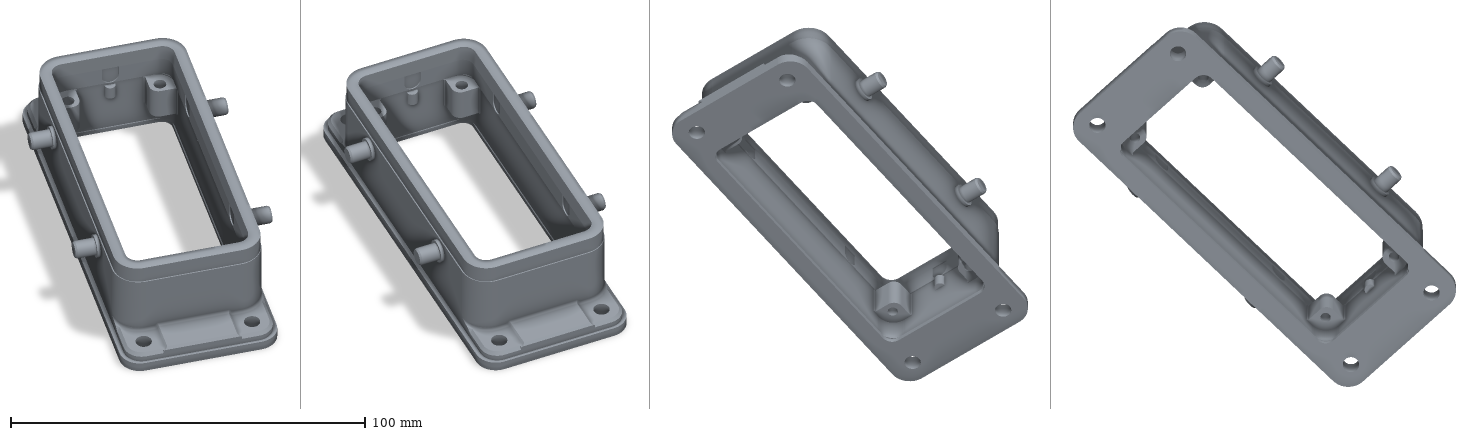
import cadquery as cq
import math

TOTAL_HEIGHT = 29.0
FLANGE_HEIGHT = 2.9
EAR_HEIGHT = 5.5
PAD_HEIGHT = 6.3
RIM_HEIGHT = 23.6

FLANGE_LENGTH = 115.0
FLANGE_WIDTH = 46.0
FLANGE_RADIUS = 6.0
EAR_LENGTH = 113.4
EAR_RADIUS = 5.2
EAR_CHAMFER = 0.9
WALL_LENGTH = 93.2
WALL_WIDTH = 43.5
WALL_RADIUS = 7.7
WALL_BLEND = 0.8
SELECTION_MARGIN = 0.6

PAD_TOP_WIDTH = 20.5
PAD_CHAMFER = 0.7
PAD_BLEND = 1.0
PAD_SLOPE = math.radians(45)

RIM_STEP = 0.3
RIM_LENGTH = WALL_LENGTH - 2 * RIM_STEP
RIM_WIDTH = WALL_WIDTH - 2 * RIM_STEP
RIM_RADIUS = 7.0
RIM_THICKNESS = 3.5
RIM_CROWN = 0.4
CROWN_BASE = TOTAL_HEIGHT - RIM_CROWN

OPENING_LENGTH = 85.2
OPENING_WIDTH = 34.8
OPENING_RADIUS = 3.2
RECESS_DEPTH = 0.3
RECESS_RADIUS = 5.1
LIP_HEIGHT = 1.4
BAND_BOTTOM = 18.4
BAND_TOP = 23.9

NOTCH_WIDTH = 5.0

MOUNT_X = 51.4
MOUNT_Y = 15.9
MOUNT_DIAMETER = 4.6

BOSS_INNER_X = 35.8
BOSS_INNER_Y = 10.2
BOSS_RADIUS = 2.6
BOSS_BOTTOM = 8.4
BOSS_TOP = 18.0
BOSS_FOOT_MARGIN = 0.5
SCREW_X = 38.6
SCREW_Y = 13.5
SCREW_TOP_DIAMETER = 3.6
SCREW_BOTTOM_DIAMETER = 2.9

PEG_RADIUS = 1.6
PEG_TIP_X = 41.3
PEG_BOTTOM = 13.5
PEG_TOP = 17.4

PIN_X = 23.7
PIN_Z = 19.2
PIN_DIAMETER = 5.1
PIN_SPAN = 57.6
PIN_CHAMFER_LENGTH = 0.6
PIN_CHAMFER_DEPTH = 0.3
COLLAR_DIAMETER = 6.7
COLLAR_SPAN = 45.5


def rounded_block(length, width, radius, bottom, top):
    block = cq.Workplane("XY").workplane(offset=bottom).rect(length, width).extrude(top - bottom)
    return block.edges("|Z").fillet(radius)


def both_ends(shape):
    return shape.union(shape.mirror("YZ"))


def four_corners(shape):
    pair = both_ends(shape)
    return pair.union(pair.mirror("XZ"))


def chamfered_ear_plate(top, chamfer):
    plate = rounded_block(EAR_LENGTH, WALL_WIDTH, EAR_RADIUS, 0, top)
    return plate.faces(">Z").chamfer(chamfer)


def pad_strip():
    """Bar along X whose section has a flat top, sloping sides and blended feet."""
    top_y = PAD_TOP_WIDTH / 2
    blend_run = PAD_BLEND * math.sin(PAD_SLOPE)
    slope_z = EAR_HEIGHT + PAD_BLEND * (1 - math.cos(PAD_SLOPE))
    slope_y = top_y + (PAD_HEIGHT - slope_z) / math.tan(PAD_SLOPE)
    foot_y = slope_y + blend_run
    blend_mid_y = foot_y - PAD_BLEND * math.sin(PAD_SLOPE / 2)
    blend_mid_z = EAR_HEIGHT + PAD_BLEND * (1 - math.cos(PAD_SLOPE / 2))
    return (
        cq.Workplane("YZ")
        .moveTo(-foot_y, 0)
        .lineTo(-foot_y, EAR_HEIGHT)
        .threePointArc((-blend_mid_y, blend_mid_z), (-slope_y, slope_z))
        .lineTo(-top_y, PAD_HEIGHT)
        .lineTo(top_y, PAD_HEIGHT)
        .lineTo(slope_y, slope_z)
        .threePointArc((blend_mid_y, blend_mid_z), (foot_y, EAR_HEIGHT))
        .lineTo(foot_y, 0)
        .close()
        .extrude(EAR_LENGTH / 2, both=True)
    )


def grown_wall(margin, top):
    return rounded_block(WALL_LENGTH + 2 * margin, WALL_WIDTH + 2 * margin, WALL_RADIUS + margin, 0, top)


def blended_wall():
    """Outer wall filleted onto an oversized slab that carries the pad strip."""
    slab = cq.Workplane("XY").rect(FLANGE_LENGTH, 2 * FLANGE_WIDTH).extrude(EAR_HEIGHT)
    body = slab.union(pad_strip()).union(grown_wall(0, RIM_HEIGHT))
    corner_x = WALL_LENGTH / 2 + SELECTION_MARGIN
    corner_y = WALL_WIDTH / 2 + SELECTION_MARGIN
    wall_foot = cq.selectors.BoxSelector(
        (-corner_x, -corner_y, EAR_HEIGHT - SELECTION_MARGIN),
        (corner_x, corner_y, PAD_HEIGHT + SELECTION_MARGIN),
    )
    return body.edges(wall_foot).fillet(WALL_BLEND)


def ear_envelope():
    """Space the ears may fill: chamfered at the edges, clear of the fillet around the wall."""
    ears = chamfered_ear_plate(EAR_HEIGHT, EAR_CHAMFER)
    pads = chamfered_ear_plate(PAD_HEIGHT, PAD_CHAMFER).intersect(pad_strip())
    fillet_zone = grown_wall(WALL_BLEND, RIM_HEIGHT)
    fillet_skirt = grown_wall(WALL_BLEND + EAR_CHAMFER, EAR_HEIGHT).faces(">Z").chamfer(EAR_CHAMFER)
    ear_outline = rounded_block(EAR_LENGTH, WALL_WIDTH, EAR_RADIUS, 0, RIM_HEIGHT)
    return ears.union(pads).union(fillet_zone.union(fillet_skirt).intersect(ear_outline))


def outer_body():
    flange = rounded_block(FLANGE_LENGTH, FLANGE_WIDTH, FLANGE_RADIUS, 0, FLANGE_HEIGHT)
    rim = rounded_block(RIM_LENGTH, RIM_WIDTH, RIM_RADIUS, 0, CROWN_BASE)
    return blended_wall().intersect(ear_envelope()).union(flange).union(rim)


def rim_crown():
    """Shallow arched cap swept around the rim."""
    half = RIM_THICKNESS / 2
    middle_y = RIM_WIDTH / 2 - half
    core = rounded_block(
        RIM_LENGTH - RIM_THICKNESS, RIM_WIDTH - RIM_THICKNESS, RIM_RADIUS - half, CROWN_BASE, TOTAL_HEIGHT
    )
    path = core.faces("<Z").wires().val()
    return (
        cq.Workplane("YZ")
        .moveTo(-middle_y - half, CROWN_BASE)
        .threePointArc((-middle_y, TOTAL_HEIGHT), (-middle_y + half, CROWN_BASE))
        .close()
        .sweep(cq.Workplane(obj=path))
    )


def cavity():
    wide = 2 * RECESS_DEPTH
    lip = rounded_block(OPENING_LENGTH, OPENING_WIDTH, OPENING_RADIUS, 0, LIP_HEIGHT)
    recess = rounded_block(
        OPENING_LENGTH + wide, OPENING_WIDTH + wide, RECESS_RADIUS, LIP_HEIGHT, BAND_BOTTOM
    )
    band = rounded_block(OPENING_LENGTH, OPENING_WIDTH, OPENING_RADIUS, BAND_BOTTOM, BAND_TOP)
    mouth_top = rounded_block(
        RIM_LENGTH - 2 * RIM_THICKNESS, RIM_WIDTH - 2 * RIM_THICKNESS, RIM_RADIUS - RIM_THICKNESS,
        BAND_TOP, CROWN_BASE,
    )
    outlines = [block.faces(">Z").wires().val() for block in (band, mouth_top)]
    mouth = cq.Workplane(obj=cq.Solid.makeLoft(outlines, True))
    return lip.union(recess).union(band).union(mouth)


def notch(plane, position, reach):
    """Round-bottomed bar passing straight through the band."""
    radius = NOTCH_WIDTH / 2
    round_z = BAND_BOTTOM + radius
    round_part = cq.Workplane(plane).center(position, round_z).circle(radius).extrude(reach, both=True)
    straight = (
        cq.Workplane(plane).center(position, (round_z + BAND_TOP) / 2)
        .rect(NOTCH_WIDTH, BAND_TOP - round_z).extrude(reach, both=True)
    )
    return round_part.union(straight)


def notches():
    side_reach = OPENING_WIDTH / 2 + RECESS_DEPTH
    end_reach = OPENING_LENGTH / 2 + RECESS_DEPTH
    return both_ends(notch("XZ", PIN_X, side_reach)).union(notch("YZ", 0, end_reach))


def corner_block(inner_x, inner_y, outer_x, outer_y):
    return (
        cq.Workplane("XY").workplane(offset=BOSS_BOTTOM)
        .moveTo(inner_x, inner_y).lineTo(outer_x, inner_y).lineTo(outer_x, outer_y).lineTo(inner_x, outer_y)
        .close().extrude(BOSS_TOP - BOSS_BOTTOM)
    )


def screw_boss():
    outer_x = (OPENING_LENGTH + RIM_THICKNESS) / 2
    outer_y = (OPENING_WIDTH + RIM_THICKNESS) / 2
    block = corner_block(BOSS_INNER_X, BOSS_INNER_Y, outer_x, outer_y)
    block = block.edges("|Z and <X and <Y").fillet(BOSS_RADIUS)
    foot_x = BOSS_INNER_X - BOSS_FOOT_MARGIN
    foot_y = BOSS_INNER_Y - BOSS_FOOT_MARGIN
    block = block.union(corner_block(foot_x, OPENING_WIDTH / 2, outer_x, outer_y))
    block = block.union(corner_block(OPENING_LENGTH / 2, foot_y, outer_x, outer_y))
    hole = (
        cq.Workplane("XY").workplane(offset=BOSS_BOTTOM).center(SCREW_X, SCREW_Y)
        .circle(SCREW_BOTTOM_DIAMETER / 2)
        .workplane(offset=BOSS_TOP - BOSS_BOTTOM).circle(SCREW_TOP_DIAMETER / 2).loft()
    )
    return block.cut(hole)


def guide_peg():
    return (
        cq.Workplane("XY").workplane(offset=PEG_BOTTOM).center(PEG_TIP_X + PEG_RADIUS, 0)
        .circle(PEG_RADIUS).extrude(PEG_TOP - PEG_BOTTOM)
    )


def locking_pin():
    root = (WALL_WIDTH - RIM_THICKNESS) / 2
    base = cq.Workplane("XZ").workplane(offset=root).center(PIN_X, PIN_Z)
    pin = base.circle(PIN_DIAMETER / 2).extrude(PIN_SPAN / 2 - root)
    pin = pin.faces("<Y").chamfer(PIN_CHAMFER_LENGTH, PIN_CHAMFER_DEPTH)
    collar = base.circle(COLLAR_DIAMETER / 2).extrude(COLLAR_SPAN / 2 - root)
    return pin.union(collar)


mount_hole = cq.Workplane("XY").center(MOUNT_X, MOUNT_Y).circle(MOUNT_DIAMETER / 2).extrude(TOTAL_HEIGHT)

result = (
    outer_body()
    .cut(cavity())
    .cut(notches())
    .union(rim_crown())
    .union(four_corners(screw_boss()))
    .union(both_ends(guide_peg()))
    .union(four_corners(locking_pin()))
    .cut(four_corners(mount_hole))
)